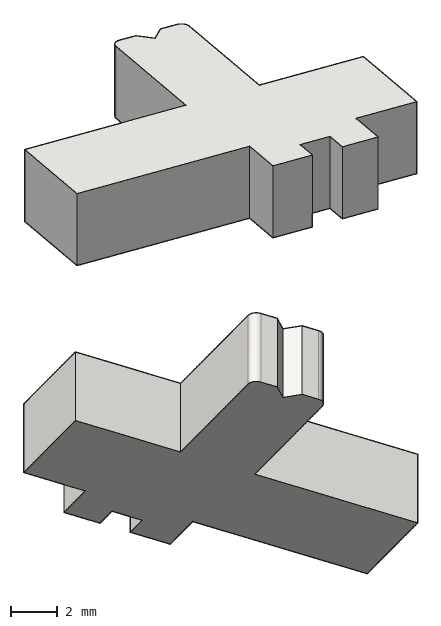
import cadquery as cq

thickness = 3.5
length = 16.6

bar_left = 6.4
bar_right_lower = 10.9
bar_right_upper = 11.0

arm_bottom = 7.9
arm_width = 3.6
arm_top = arm_bottom + arm_width
arm_corner_radius = 0.4

notch_depth = 0.6
notch_center = arm_bottom + arm_width / 2

tabs_right = 12.9
tabs_bottom = 8.46
tabs_top = 13.62
slot_floor = 11.84
slot_bottom = 10.4
slot_top = 11.86


def block(x_min, x_max, y_min, y_max):
    """Full-thickness box between the given X and Y limits."""
    return cq.Workplane("XY").box(
        x_max - x_min, y_max - y_min, thickness, centered=False
    ).translate((x_min, y_min, 0))


def make_bar():
    lower = block(bar_left, bar_right_lower, 0, tabs_top)
    upper = block(bar_left, bar_right_upper, tabs_bottom, length)
    return lower.union(upper)


def make_arm():
    arm = block(0, bar_left, arm_bottom, arm_top)
    arm = arm.edges("|Z and <X").fillet(arm_corner_radius)
    notch = (
        cq.Workplane("XY")
        .moveTo(0, notch_center - notch_depth)
        .lineTo(notch_depth, notch_center)
        .lineTo(0, notch_center + notch_depth)
        .close()
        .extrude(thickness)
    )
    return arm.cut(notch)


def make_tabs():
    tabs = block(bar_right_lower, tabs_right, tabs_bottom, tabs_top)
    slot = block(slot_floor, tabs_right, slot_bottom, slot_top)
    return tabs.cut(slot)


result = make_bar().union(make_arm()).union(make_tabs()).clean()